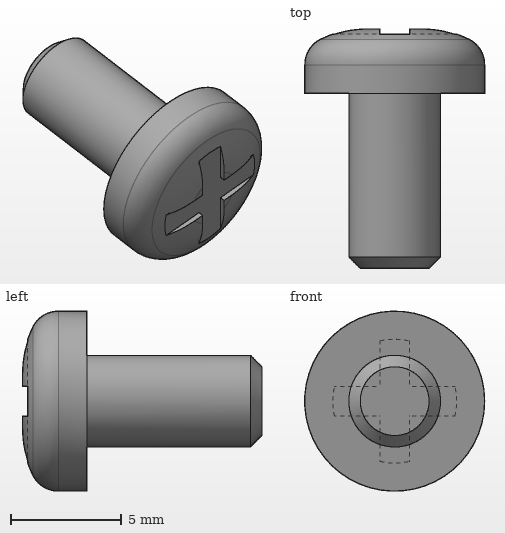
import cadquery as cq
import math

total_length = 10.88
head_diameter = 8.18
shank_diameter = 4.17
shank_length = 7.95
tip_chamfer = 0.52
rim_height = 1.28
flat_radius = 1.35
crown_arc_radius = 4.6
crown_drop = 0.48
slot_width = 1.35
slot_depth = 0.24

head_radius = head_diameter / 2
shank_radius = shank_diameter / 2
rim_top = shank_length + rim_height
crown_base = total_length - crown_drop

crown_angle = math.acos(1 - crown_drop / crown_arc_radius)
shoulder_arc_radius = (crown_base - rim_top) / math.cos(crown_angle)


def crown_point(angle):
    """Point on the crown arc, with the angle measured from the screw axis."""
    x = flat_radius + crown_arc_radius * math.sin(angle)
    y = total_length - crown_arc_radius * (1 - math.cos(angle))
    return x, y


def make_body():
    """Revolve the half profile of shank and head about the Y axis."""
    profile = (
        cq.Workplane("XY")
        .lineTo(shank_radius - tip_chamfer, 0)
        .lineTo(shank_radius, tip_chamfer)
        .lineTo(shank_radius, shank_length)
        .lineTo(head_radius, shank_length)
        .lineTo(head_radius, rim_top)
        .radiusArc(crown_point(crown_angle), -shoulder_arc_radius)
        .threePointArc(crown_point(crown_angle / 2), crown_point(0))
        .lineTo(0, total_length)
        .close()
    )
    return profile.revolve(360, (0, 0, 0), (0, 1, 0))


def make_cross_slot():
    """Two crossing slots with a flat floor, open through the crown."""
    slot_center = (0, total_length - slot_depth / 2, 0)
    along_x = cq.Workplane("XY").box(head_diameter, slot_depth, slot_width).translate(slot_center)
    along_z = cq.Workplane("XY").box(slot_width, slot_depth, head_diameter).translate(slot_center)
    return along_x.union(along_z)


result = make_body().cut(make_cross_slot())